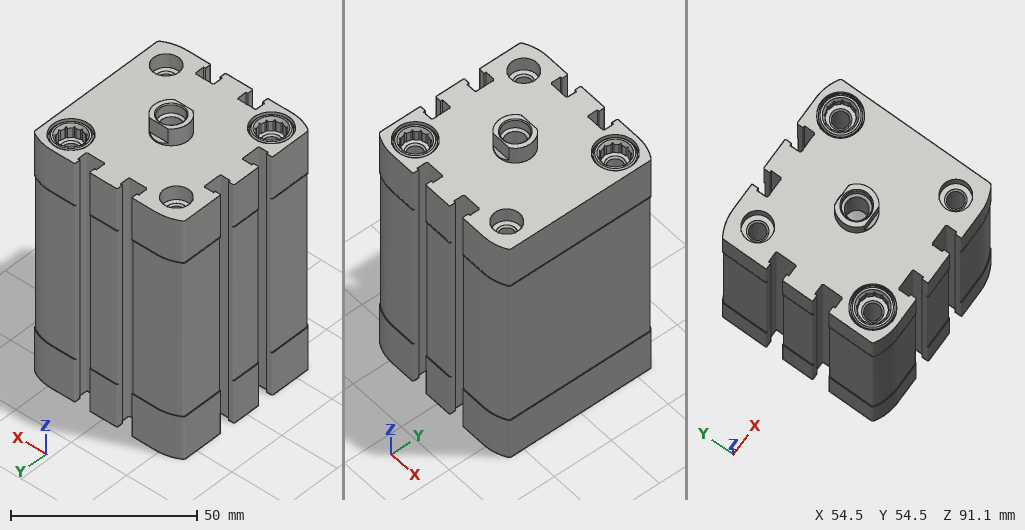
import cadquery as cq
import math

total_height = 91.1
side = 54.5
half_side = side / 2
body_height = 85.1
cap_height = 15.1
barrel_height = body_height - 2 * cap_height
barrel_inset = 0.3

corner_arc_start = 19.0
corner_arc_radius = 15.1
corner_fillet = 1.0

slot_offset = 7.65
slot_mouth_width = 5.3
slot_inner_width = 6.65
slot_lip = 2.1
slot_depth = 5.6
slot_inner_fillet = 0.5
slot_mouth_fillet = 0.32
slotted_side_angles = (0, 90, 180)

hole_offset = 19.0
through_diameter = 4.9
lead_in_diameter = 6.0
lead_in_depth = (lead_in_diameter - through_diameter) / 2
recess_depth = 4.8
plain_recess_diameter = 9.0

head_bore_diameter = 12.8
head_diameter = 11.9
head_recess = 0.2
head_chamfer = 0.5
head_gap_depth = 1.5
socket_mouth_diameter = 9.8
socket_mouth_depth = 1.3
socket_diameter = 8.4
socket_groove_count = 12
socket_groove_reach = 4.5
socket_groove_width = 0.8

rod_diameter = 12.0
rod_embedded_length = 36.4
flat_width = 10.0
flat_height = 5.0
flat_ledge_drop = 0.6
rod_mouth_diameter = 9.0
rod_bore_diameter = 8.4
rod_bore_depth = 3.3
rod_shoulder_height = 0.55
thread_diameter = 6.65
thread_depth = 18.2
drill_point_angle = 118.0


def cylinder(diameter, bottom, top):
    return cq.Workplane("XY").workplane(offset=bottom).circle(diameter / 2).extrude(top - bottom)


def cone(bottom_diameter, top_diameter, bottom, top):
    solid = cq.Solid.makeCone(
        bottom_diameter / 2, top_diameter / 2, top - bottom, pnt=cq.Vector(0, 0, bottom)
    )
    return cq.Workplane(solid)


def block(inset, bottom, height):
    """A length of the body with rounded corners and no slots."""
    half = half_side - inset
    radius = corner_arc_radius - inset
    fillet = corner_fillet - inset
    arc_centre_y = half - radius
    fillet_centre_x = half - fillet
    lean = math.asin((fillet_centre_x - corner_arc_start) / (radius - fillet))
    fillet_centre_y = arc_centre_y + (radius - fillet) * math.cos(lean)

    def on_arc(angle):
        return (corner_arc_start + radius * math.sin(angle), arc_centre_y + radius * math.cos(angle))

    def on_fillet(angle):
        return (fillet_centre_x + fillet * math.sin(angle), fillet_centre_y + fillet * math.cos(angle))

    quarter = (
        cq.Workplane("XY")
        .workplane(offset=bottom)
        .lineTo(0, half)
        .lineTo(corner_arc_start, half)
        .threePointArc(on_arc(lean / 2), on_arc(lean))
        .threePointArc(on_fillet((lean + math.pi / 2) / 2), (half, fillet_centre_y))
        .lineTo(half, 0)
        .close()
        .extrude(height)
    )
    right_half = quarter.union(quarter.mirror("XZ"))
    return right_half.union(right_half.mirror("YZ")).clean()


def slot_cutter(centre, half, bottom, height):
    """One T-slot in the +Y side of a block whose side lies at Y = half."""
    floor_y = half_side - slot_depth
    lip_y = half_side - slot_lip
    base = cq.Workplane("XY").workplane(offset=bottom)
    inner = (
        base.center(centre, (floor_y + lip_y) / 2)
        .rect(slot_inner_width, lip_y - floor_y)
        .extrude(height)
        .edges("|Z and <Y")
        .fillet(slot_inner_fillet)
    )
    mouth = (
        base.center(centre, (floor_y + half) / 2)
        .rect(slot_mouth_width, half - floor_y)
        .extrude(height)
    )
    flare_half = slot_mouth_width / 2 + slot_mouth_fillet
    flare = (
        base.center(centre, half - slot_mouth_fillet / 2)
        .rect(2 * flare_half, slot_mouth_fillet)
        .extrude(height)
    )
    lip_rounds = (
        base.pushPoints([(centre + s * flare_half, half - slot_mouth_fillet) for s in (-1, 1)])
        .circle(slot_mouth_fillet)
        .extrude(height)
    )
    return inner.union(mouth).union(flare.cut(lip_rounds))


def slotted_section(inset, bottom, height):
    section = block(inset, bottom, height)
    for angle in slotted_side_angles:
        for centre in (-slot_offset, slot_offset):
            cutter = slot_cutter(centre, half_side - inset, bottom, height)
            section = section.cut(cutter.rotate((0, 0, 0), (0, 0, 1), angle))
    return section


def through_hole():
    """Through hole with a conical lead-in at the recess floor, centred on Z."""
    floor = body_height - recess_depth
    lead_in = cone(through_diameter, lead_in_diameter, floor - lead_in_depth, floor)
    return cylinder(through_diameter, 0, floor).union(lead_in)


def plain_hole():
    return through_hole().union(
        cylinder(plain_recess_diameter, body_height - recess_depth, body_height)
    )


def grooved_socket(bottom, top):
    """Round socket with V-grooves all round its wall."""
    half_width = socket_groove_width / 2
    wall_x = math.sqrt((socket_diameter / 2) ** 2 - half_width**2)
    groove = (
        cq.Workplane("XY")
        .workplane(offset=bottom)
        .lineTo(wall_x, -half_width)
        .lineTo(socket_groove_reach, 0)
        .lineTo(wall_x, half_width)
        .close()
        .extrude(top - bottom)
    )
    socket = cylinder(socket_diameter, bottom, top)
    for i in range(socket_groove_count):
        socket = socket.union(groove.rotate((0, 0, 0), (0, 0, 1), i * 360 / socket_groove_count))
    return socket


def screw_head_hole():
    """Space around and inside a sunk screw head with a grooved socket."""
    head_top = body_height - head_recess
    gap_floor = body_height - head_gap_depth
    head = cylinder(head_diameter, gap_floor, head_top).faces(">Z").chamfer(head_chamfer)
    around_head = cylinder(head_bore_diameter, gap_floor, body_height).cut(head)
    socket = grooved_socket(body_height - recess_depth, head_top)
    socket_mouth = cone(socket_diameter, socket_mouth_diameter, head_top - socket_mouth_depth, head_top)
    return through_hole().union(around_head).union(socket).union(socket_mouth)


def make_housing():
    housing = slotted_section(0, 0, cap_height)
    housing = housing.union(slotted_section(barrel_inset, cap_height, barrel_height))
    housing = housing.union(slotted_section(0, body_height - cap_height, cap_height))
    for sign in (-1, 1):
        housing = housing.cut(plain_hole().translate((sign * hole_offset, -sign * hole_offset, 0)))
        housing = housing.cut(screw_head_hole().translate((sign * hole_offset, sign * hole_offset, 0)))
    return housing.cut(cylinder(rod_diameter, body_height - rod_embedded_length, body_height))


def rod_flat_cutter():
    """Flat on the +Y side of the rod, ending in a ledge that slopes down and out."""
    flat_y = flat_width / 2
    outer_y = rod_diameter / 2
    ledge_z = total_height - flat_height
    return (
        cq.Workplane("YZ")
        .moveTo(flat_y, total_height)
        .lineTo(flat_y, ledge_z)
        .lineTo(outer_y, ledge_z - flat_ledge_drop)
        .lineTo(outer_y, total_height)
        .close()
        .extrude(rod_diameter / 2, both=True)
    )


def rod_bore():
    """Stepped hole down the rod with a chamfered mouth and a drill point."""
    mouth_depth = (rod_mouth_diameter - rod_bore_diameter) / 2
    shoulder_top = total_height - rod_bore_depth
    shoulder_bottom = shoulder_top - rod_shoulder_height
    thread_bottom = total_height - thread_depth
    point_height = thread_diameter / 2 / math.tan(math.radians(drill_point_angle / 2))
    return (
        cone(rod_bore_diameter, rod_mouth_diameter, total_height - mouth_depth, total_height)
        .union(cylinder(rod_bore_diameter, shoulder_top, total_height))
        .union(cone(thread_diameter, rod_bore_diameter, shoulder_bottom, shoulder_top))
        .union(cylinder(thread_diameter, thread_bottom, shoulder_bottom))
        .union(cone(0, thread_diameter, thread_bottom - point_height, thread_bottom))
    )


def make_piston_rod():
    rod = cylinder(rod_diameter, body_height - rod_embedded_length, total_height)
    for angle in (0, 180):
        rod = rod.cut(rod_flat_cutter().rotate((0, 0, 0), (0, 0, 1), angle))
    return rod.cut(rod_bore())


housing = make_housing()
piston_rod = make_piston_rod()
result = cq.Compound.makeCompound([housing.val(), piston_rod.val()])